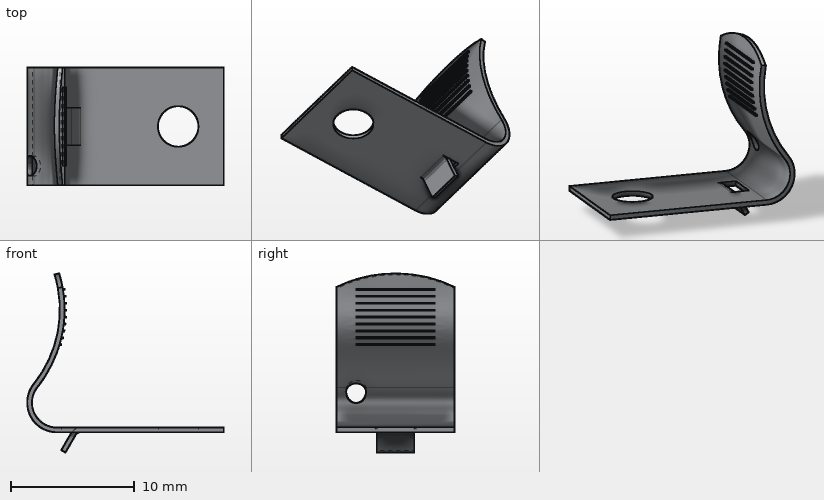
import cadquery as cq
import math

length = 15.88
width = 9.53
thickness = 0.4

bend_inner = 2.0
bend_outer = bend_inner + thickness
bend_x = bend_outer
bend_z = bend_outer
arm_inner = 9.6
arm_outer = arm_inner + thickness
arm_center_rise = 7.5

center_distance = bend_outer + arm_inner
join_angle = math.asin(arm_center_rise / center_distance)
arm_x = bend_x - center_distance * math.cos(join_angle)
arm_z = bend_z + arm_center_rise

arm_height = 12.84
tip_angle = math.asin((arm_height - arm_z) / arm_outer)
tip_sagitta = 1.14
blank_end_angle = tip_angle + math.radians(5)
tip_cut_angle = math.radians(13)
tip_cut_reach = 3.0

mount_diameter = 3.25
mount_from_end = 3.69

vent_width = 1.6
vent_outer_height = 2.0
vent_inner_height = 1.7
vent_y = -3.18
vent_angle = math.radians(24)
vent_chord_distance = 2.22
vent_overrun = 2 * thickness

tab_width = 3.05
tab_bend_start = 4.27
tab_bend_inner = 0.4
tab_bend_outer = tab_bend_inner + thickness
tab_angle = math.radians(60)
tab_drop = 1.63

rib_count = 9
rib_length = 6.35
rib_height = 0.13
rib_width = 0.1
rib_first_angle = 9.4
rib_pitch_angle = 3.2


def polar(center_x, center_z, radius, angle):
    """Point in XZ at an angle measured from +X towards +Z."""
    return (center_x + radius * math.cos(angle), center_z + radius * math.sin(angle))


def on_bend(radius, angle):
    return polar(bend_x, bend_z, radius, angle)


def on_arm(radius, angle):
    return polar(arm_x, arm_z, radius, angle)


def across(outline, extent):
    """Extrude a closed XZ outline symmetrically across the strip."""
    return outline.extrude(extent / 2, both=True)


def make_strip():
    """Bent sheet, with the arm left long for the tip trim."""
    bend_end = math.pi - join_angle
    bend_middle = (1.5 * math.pi + bend_end) / 2
    arm_middle = (blank_end_angle - join_angle) / 2
    outline = (
        cq.Workplane("XZ")
        .moveTo(length, 0)
        .lineTo(bend_x, 0)
        .threePointArc(on_bend(bend_outer, bend_middle), on_bend(bend_outer, bend_end))
        .threePointArc(on_arm(arm_inner, arm_middle), on_arm(arm_inner, blank_end_angle))
        .lineTo(*on_arm(arm_outer, blank_end_angle))
        .threePointArc(on_arm(arm_outer, arm_middle), on_arm(arm_outer, -join_angle))
        .threePointArc(on_bend(bend_inner, bend_middle), (bend_x, thickness))
        .lineTo(length, thickness)
        .close()
    )
    return across(outline, width)


def make_tip_trim():
    """Material above the arched tip edge, cut square to the sheet."""
    tip_x, tip_z = on_arm(arm_outer, tip_angle)
    plane = cq.Plane(
        origin=(tip_x, 0, tip_z),
        xDir=(0, 1, 0),
        normal=(math.cos(tip_cut_angle), 0, math.sin(tip_cut_angle)),
    )
    half = width / 2
    return (
        cq.Workplane(plane)
        .moveTo(-half, -tip_sagitta)
        .threePointArc((0, 0), (half, -tip_sagitta))
        .lineTo(half, tip_cut_reach)
        .lineTo(-half, tip_cut_reach)
        .close()
        .extrude(tip_cut_reach, both=True)
    )


def make_mount_hole():
    return (
        cq.Workplane("XY")
        .center(length - mount_from_end, 0)
        .circle(mount_diameter / 2)
        .extrude(thickness)
    )


def make_vent_hole():
    """Elliptical cutter that widens outward, extended past both faces of the sheet."""
    taper = (vent_outer_height - vent_inner_height) / thickness
    start_height = vent_outer_height - taper * vent_overrun
    end_height = vent_outer_height + taper * vent_overrun
    start_distance = vent_chord_distance - vent_overrun
    start_x, start_z = on_bend(start_distance, math.pi - vent_angle)
    plane = cq.Plane(
        origin=(start_x, vent_y, start_z),
        xDir=(0, 1, 0),
        normal=(-math.cos(vent_angle), 0, math.sin(vent_angle)),
    )
    return (
        cq.Workplane(plane)
        .ellipse(vent_width / 2, start_height / 2)
        .workplane(offset=2 * vent_overrun)
        .ellipse(vent_width / 2, end_height / 2)
        .loft(ruled=True)
    )


tab_center_z = -tab_bend_inner
tab_end_angle = math.pi / 2 + tab_angle
tab_middle_angle = math.pi / 2 + tab_angle / 2
tab_upper_end = polar(tab_bend_start, tab_center_z, tab_bend_outer, tab_end_angle)
tab_lower_end = polar(tab_bend_start, tab_center_z, tab_bend_inner, tab_end_angle)
tab_straight = (tab_drop + tab_lower_end[1]) / math.sin(tab_angle)
tab_run = tab_straight * math.cos(tab_angle)
tab_fall = tab_straight * math.sin(tab_angle)
tab_upper_tip = (tab_upper_end[0] - tab_run, tab_upper_end[1] - tab_fall)
tab_lower_tip = (tab_lower_end[0] - tab_run, tab_lower_end[1] - tab_fall)


def make_tab_window():
    window_length = tab_bend_start - tab_upper_tip[0]
    return (
        cq.Workplane("XY")
        .center(tab_bend_start - window_length / 2, 0)
        .rect(window_length, tab_width)
        .extrude(thickness)
    )


def make_tab():
    outline = (
        cq.Workplane("XZ")
        .moveTo(tab_bend_start, thickness)
        .threePointArc(
            polar(tab_bend_start, tab_center_z, tab_bend_outer, tab_middle_angle),
            tab_upper_end,
        )
        .lineTo(*tab_upper_tip)
        .lineTo(*tab_lower_tip)
        .lineTo(*tab_lower_end)
        .threePointArc(
            polar(tab_bend_start, tab_center_z, tab_bend_inner, tab_middle_angle),
            (tab_bend_start, 0),
        )
        .close()
    )
    return across(outline, tab_width)


def make_rib(angle_degrees):
    """Rectangular rib standing on the arm, sunk into it to half the sheet thickness."""
    root = thickness / 2
    rib = cq.Workplane("XY").box(root + rib_height, rib_length, rib_width)
    middle_radius = arm_outer + (rib_height - root) / 2
    return (
        rib.translate((middle_radius, 0, 0))
        .rotate((0, 0, 0), (0, 1, 0), -angle_degrees)
        .translate((arm_x, 0, arm_z))
    )


result = make_strip()
result = result.cut(make_tip_trim())
result = result.cut(make_mount_hole())
result = result.cut(make_vent_hole())
result = result.cut(make_tab_window())
result = result.union(make_tab())
for index in range(rib_count):
    result = result.union(make_rib(rib_first_angle - index * rib_pitch_angle))